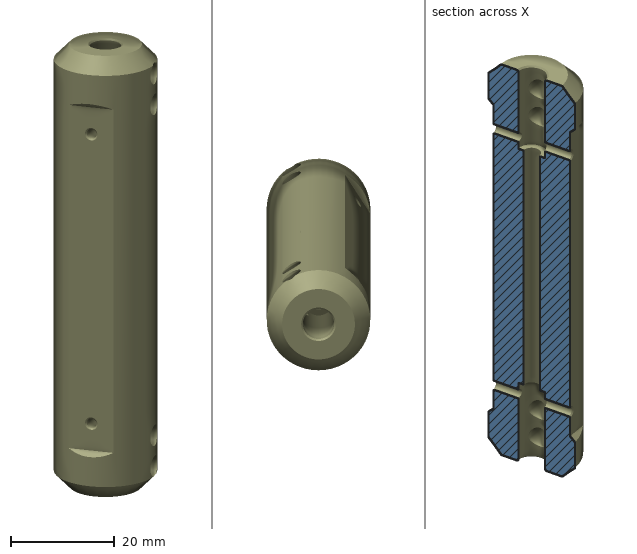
import cadquery as cq

length = 90.0
diameter = 20.0
radius = diameter / 2
end_face_diameter = 14.0
end_chamfer_height = 3.1

flat_depth = 1.1
flat_ramp_length = 1.0
flat_end_margin = 9.0
flat_half_length = length / 2 - flat_end_margin

bore_diameter = 3.7
mouth_diameter = 6.0
mouth_rim_diameter = 6.7
mouth_depth = 18.0

cross_hole_diameter = 2.0
cross_hole_rim_diameter = 2.5
cross_hole_end_distance = 15.5
cross_hole_offset = length / 2 - cross_hole_end_distance

side_hole_diameter = 4.2
side_hole_end_distances = (4.95, 11.25)


def make_body():
    """Revolve the cylinder with conical ends, centred on the origin."""
    half_length = length / 2
    end_radius = end_face_diameter / 2
    shoulder = half_length - end_chamfer_height
    profile = [
        (0, -half_length),
        (end_radius, -half_length),
        (radius, -shoulder),
        (radius, shoulder),
        (end_radius, half_length),
        (0, half_length),
    ]
    return cq.Workplane("XZ").polyline(profile).close().revolve(360, (0, 0, 0), (0, 1, 0))


def flat_cutter():
    """Trapezoidal prism that cuts the flat on the -Y side."""
    floor_half_length = flat_half_length - flat_ramp_length
    profile = [
        (-radius, -flat_half_length),
        (-radius + flat_depth, -floor_half_length),
        (-radius + flat_depth, floor_half_length),
        (-radius, flat_half_length),
    ]
    return cq.Workplane("YZ").polyline(profile).close().extrude(radius, both=True)


def axial_bore():
    """Through bore with a wider, chamfered mouth at both ends."""
    top = length / 2
    rim_depth = (mouth_rim_diameter - mouth_diameter) / 2
    profile = [
        (0, -top),
        (mouth_rim_diameter / 2, -top),
        (mouth_diameter / 2, -top + rim_depth),
        (mouth_diameter / 2, -top + mouth_depth),
        (bore_diameter / 2, -top + mouth_depth),
        (bore_diameter / 2, top - mouth_depth),
        (mouth_diameter / 2, top - mouth_depth),
        (mouth_diameter / 2, top - rim_depth),
        (mouth_rim_diameter / 2, top),
        (0, top),
    ]
    return cq.Workplane("XZ").polyline(profile).close().revolve(360, (0, 0, 0), (0, 1, 0))


def cross_hole(height):
    """Hole along Y between the flats, chamfered at both ends."""
    flat_position = radius - flat_depth
    rim_depth = (cross_hole_rim_diameter - cross_hole_diameter) / 2
    profile = [
        (0, -flat_position),
        (cross_hole_rim_diameter / 2, -flat_position),
        (cross_hole_diameter / 2, -flat_position + rim_depth),
        (cross_hole_diameter / 2, flat_position - rim_depth),
        (cross_hole_rim_diameter / 2, flat_position),
        (0, flat_position),
    ]
    hole = cq.Workplane("XY").polyline(profile).close().revolve(360, (0, 0, 0), (0, 1, 0))
    return hole.translate((0, 0, height))


def side_hole(height):
    """Radial hole from the bore axis out through the +X side."""
    return cq.Workplane("YZ").center(0, height).circle(side_hole_diameter / 2).extrude(radius)


result = make_body()
for angle in (0, 180):
    result = result.cut(flat_cutter().rotate((0, 0, 0), (0, 0, 1), angle))
result = result.cut(axial_bore())
for height in (-cross_hole_offset, cross_hole_offset):
    result = result.cut(cross_hole(height))
for end_distance in side_hole_end_distances:
    side_hole_offset = length / 2 - end_distance
    for height in (-side_hole_offset, side_hole_offset):
        result = result.cut(side_hole(height))